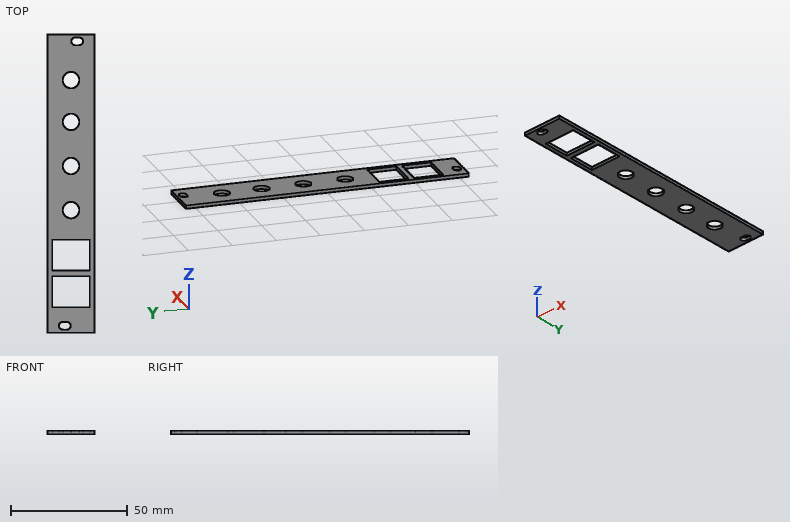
import cadquery as cq

PANEL_WIDTH = 20.3
PANEL_HEIGHT = 128.5
PANEL_THICKNESS = 1.6

SLOT_LENGTH = 5.0
SLOT_WIDTH = 3.2
SLOT_SIDE_MARGIN = 7.5
SLOT_END_MARGIN = 3.0
SLOT_X = PANEL_WIDTH / 2 - SLOT_SIDE_MARGIN
SLOT_Y = PANEL_HEIGHT / 2 - SLOT_END_MARGIN

HOLE_DIAMETER = 7.0
HOLE_Y_POSITIONS = (44.55, 26.55, 7.55, -11.45)

WINDOW_WIDTH = 16.1
WINDOW_HEIGHT = 13.15
WINDOW_PITCH = 15.8
UPPER_WINDOW_Y = -30.8


def make_panel():
    return cq.Workplane("XY").box(
        PANEL_WIDTH, PANEL_HEIGHT, PANEL_THICKNESS, centered=(True, True, False)
    )


def cut_mounting_slots(body):
    slot_centres = [(SLOT_X, SLOT_Y), (-SLOT_X, -SLOT_Y)]
    slots = (
        cq.Workplane("XY")
        .pushPoints(slot_centres)
        .slot2D(SLOT_LENGTH, SLOT_WIDTH)
        .extrude(PANEL_THICKNESS)
    )
    return body.cut(slots)


def cut_round_holes(body):
    hole_centres = [(0, y) for y in HOLE_Y_POSITIONS]
    holes = (
        cq.Workplane("XY")
        .pushPoints(hole_centres)
        .circle(HOLE_DIAMETER / 2)
        .extrude(PANEL_THICKNESS)
    )
    return body.cut(holes)


def cut_windows(body):
    window_centres = [(0, UPPER_WINDOW_Y), (0, UPPER_WINDOW_Y - WINDOW_PITCH)]
    windows = (
        cq.Workplane("XY")
        .pushPoints(window_centres)
        .rect(WINDOW_WIDTH, WINDOW_HEIGHT)
        .extrude(PANEL_THICKNESS)
    )
    return body.cut(windows)


panel = make_panel()
panel = cut_mounting_slots(panel)
panel = cut_round_holes(panel)
result = cut_windows(panel)